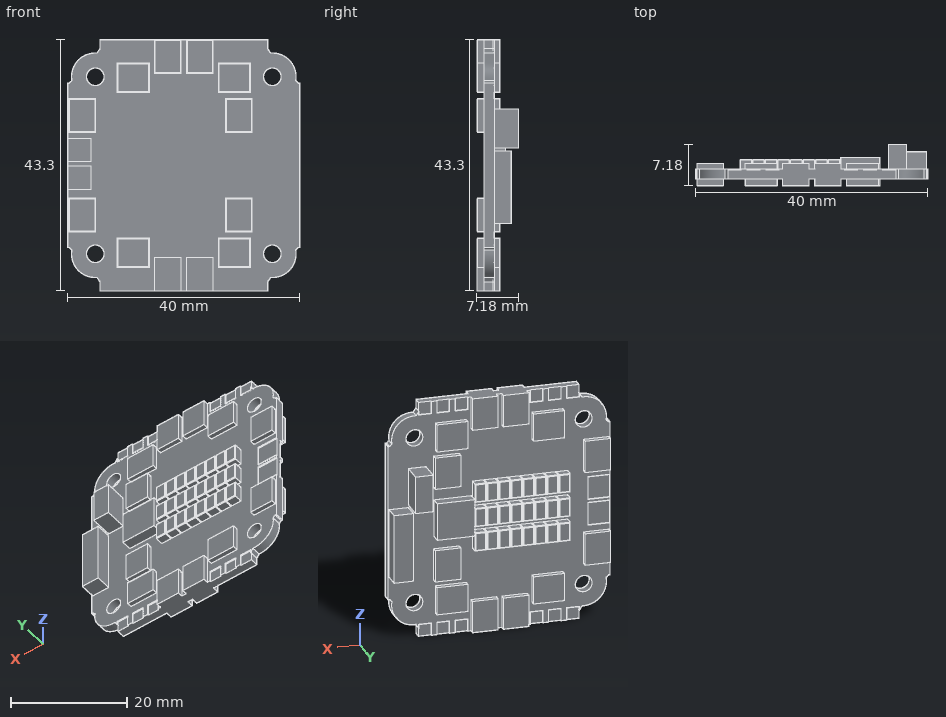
import cadquery as cq
import math

board_width = 40.0
board_height = 43.3
board_thickness = 1.78
tab_half_width = 14.45
side_half_height = 14.15

hole_pitch = 30.5
hole_diameter = 3.0
ear_radius = 4.1
tab_slope_x = 14.95
tab_slope_z = 20.1
side_slope_x = 19.75
side_slope_z = 14.6

front_block_height = 1.2
back_block_height = 0.95
block_bevel = 0.15
tall_block = (4.6, 5.8)
wide_block = (5.55, 5.02)
edge_block_x = 2.75
edge_block_z = (board_height - tall_block[1]) / 2
corner_block_x = 8.7
corner_block_z = 15.05
side_block_z = 8.57
left_block_x = -17.5
right_block_x = 9.5

front_recess_depth = 0.6
back_recess_depth = 0.2
side_recess_length = 4.0
front_side_recess_height = 4.03
front_side_recess_z = (2.65, -2.12)
back_side_recess_height = 4.15
back_side_recess_z = (2.35, -2.42)
tab_recess_size = 2.25
tab_recess_pitch = 3.3
tab_recess_count = 3

chip_width = 2.0
chip_length = 3.38
chip_height = 1.65
chip_bevel = 0.15
chip_columns = 8
chip_rows = 3
chip_pitch_x = 2.15
chip_pitch_z = 4.5
chip_grid_left = -12.35
chip_grid_z = -0.15

processor_size = 6.75
processor_height = 1.95
processor_x = 8.35
connector_divide_x = 16.32
tall_connector = (3.15, 4.2, 6.75)
tall_connector_z = 6.32
long_connector = (3.45, 2.95, 12.5)
long_connector_z = -3.75


def block(x, z, size, y_start, y_end):
    """Box centred on (x, z), reaching from y_start to y_end."""
    return cq.Workplane("XY").box(size[0], y_end - y_start, size[1]).translate((x, (y_start + y_end) / 2, z))


def ear_height(offset):
    """Distance along one axis of an ear edge point, from its distance along the other axis."""
    hole = hole_pitch / 2
    return hole + math.sqrt(ear_radius**2 - (offset - hole) ** 2)


def corner_outline():
    """Quarter of the board outline, filling the +X, +Z corner from the board centre."""
    ear_middle = hole_pitch / 2 + ear_radius * math.sqrt(0.5)
    return (
        cq.Workplane("XZ")
        .lineTo(board_width / 2, 0)
        .lineTo(board_width / 2, side_half_height)
        .lineTo(side_slope_x, side_half_height)
        .lineTo(ear_height(side_slope_z), side_slope_z)
        .threePointArc((ear_middle, ear_middle), (tab_slope_x, ear_height(tab_slope_x)))
        .lineTo(tab_half_width, tab_slope_z)
        .lineTo(tab_half_width, board_height / 2)
        .lineTo(0, board_height / 2)
        .close()
    )


def make_board():
    quarter = corner_outline().extrude(-board_thickness)
    half = quarter.union(quarter.mirror("YZ"))
    board = half.union(half.mirror("XY")).clean()
    holes = (
        cq.Workplane("XZ")
        .rect(hole_pitch, hole_pitch, forConstruction=True)
        .vertices()
        .circle(hole_diameter / 2)
        .extrude(-board_thickness)
    )
    return board.cut(holes)


def cut_side_recesses(board):
    """Recesses along the left edge, on both faces."""
    x = (side_recess_length - board_width) / 2
    for z in front_side_recess_z:
        size = (side_recess_length, front_side_recess_height)
        board = board.cut(block(x, z, size, 0, front_recess_depth))
    for z in back_side_recess_z:
        size = (side_recess_length, back_side_recess_height)
        board = board.cut(block(x, z, size, board_thickness - back_recess_depth, board_thickness))
    return board


def cut_tab_recesses(board):
    """Shallow square recesses in the back face along the top and bottom edges."""
    size = (tab_recess_size, tab_recess_size)
    z = (board_height - tab_recess_size) / 2
    for i in range(tab_recess_count):
        x = tab_half_width - tab_recess_size / 2 - i * tab_recess_pitch
        for side_x in (-x, x):
            for side_z in (-z, z):
                floor_y = board_thickness - back_recess_depth
                board = board.cut(block(side_x, side_z, size, floor_y, board_thickness))
    return board


def add_block_pair(body, x, z, size, bevelled=True):
    """Matching blocks on the front and back; the front one may have bevelled face edges."""
    front = block(x, z, size, -front_block_height, 0)
    if bevelled:
        front = front.faces("<Y").chamfer(block_bevel)
    back = block(x, z, size, board_thickness, board_thickness + back_block_height)
    return body.union(front).union(back)


def add_blocks(body):
    for side in (-1, 1):
        edge_x = side * edge_block_x
        side_z = side * side_block_z
        body = add_block_pair(body, edge_x, edge_block_z, tall_block)
        body = add_block_pair(body, edge_x, -edge_block_z, tall_block, bevelled=False)
        body = add_block_pair(body, left_block_x, side_z, tall_block)
        body = add_block_pair(body, right_block_x, side_z, tall_block)
        for end in (-1, 1):
            body = add_block_pair(body, side * corner_block_x, end * corner_block_z, wide_block)
    return body


def add_chips(body):
    for column in range(chip_columns):
        x = chip_grid_left + chip_width / 2 + column * chip_pitch_x
        for row in range(chip_rows):
            z = chip_grid_z + (row - (chip_rows - 1) / 2) * chip_pitch_z
            chip = block(x, z, (chip_width, chip_length), board_thickness, board_thickness + chip_height)
            body = body.union(chip.faces(">Y").chamfer(chip_bevel))
    return body


def add_back_part(body, x, z, size):
    """Plain box on the back face; size is its X, Y and Z."""
    return body.union(block(x, z, (size[0], size[2]), board_thickness, board_thickness + size[1]))


board = cut_tab_recesses(cut_side_recesses(make_board()))
result = add_chips(add_blocks(board))
result = add_back_part(result, processor_x, 0, (processor_size, processor_height, processor_size))
result = add_back_part(result, connector_divide_x - tall_connector[0] / 2, tall_connector_z, tall_connector)
result = add_back_part(result, connector_divide_x + long_connector[0] / 2, long_connector_z, long_connector)